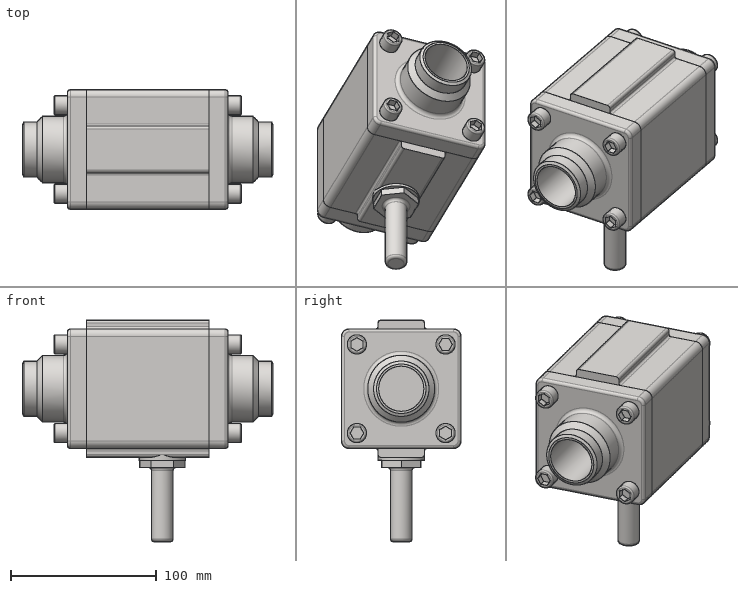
import cadquery as cq
import math

OVERALL_LENGTH = 172.0
OVERALL_HEIGHT = 152.0
BLOCK_SIZE = 82.0
BLOCK_LENGTH = 84.1
CAP_THICKNESS = 13.0
CORNER_RADIUS = 5.2

RAIL_WIDTH = 32.0
RAIL_HEIGHT = 6.0
RAIL_EDGE_RADIUS = 2.0
RAIL_ROOT_RADIUS = 1.5

CAP_EDGE_RADIUS = 2.0
STUB_DIAMETER = 46.0
STUB_ROOT_RADIUS = 2.8
PIPE_DIAMETER = 38.0
PIPE_LENGTH = 10.0
BORE_DIAMETER = 31.0
BEVEL_DEPTH = 2.0
BEVEL_LENGTH = 1.0

BOLT_CIRCLE_DIAMETER = 86.0
SCREW_COUNT = 4
HEAD_DIAMETER = 13.2
HEAD_HEIGHT = 9.1
HEAD_EDGE_RADIUS = 1.0
SOCKET_FLATS = 8.0
SOCKET_DEPTH = 5.0

PROBE_X = 10.0
SEAT_HEIGHT = 2.0
HEX_FLATS = 27.0
HEX_HEIGHT = 5.0
SHAFT_DIAMETER = 15.0
SHAFT_ROOT_RADIUS = 2.0
SHAFT_TIP_RADIUS = 2.0

RAIL_TOP = BLOCK_SIZE / 2 + RAIL_HEIGHT
SEAT_BOTTOM = RAIL_TOP + SEAT_HEIGHT
HEX_BOTTOM = SEAT_BOTTOM + HEX_HEIGHT
PROBE_REACH = OVERALL_HEIGHT - RAIL_TOP
CAP_INNER_FACE = BLOCK_LENGTH / 2
CAP_FACE = CAP_INNER_FACE + CAP_THICKNESS
PIPE_END = OVERALL_LENGTH / 2


def hexagon_diameter(across_flats):
    """Corner-to-corner size of a regular hexagon."""
    return across_flats / math.cos(math.radians(30))


def rounded_block(start, length):
    """Square bar along +X with rounded long edges."""
    bar = cq.Workplane("YZ", origin=(start, 0, 0)).rect(BLOCK_SIZE, BLOCK_SIZE).extrude(length)
    return bar.edges("|X").fillet(CORNER_RADIUS)


def rail_profile():
    """Rail section in YZ: convex top edges, concave roots that flare onto the block."""
    side = RAIL_WIDTH / 2
    base = BLOCK_SIZE / 2
    flare = side + RAIL_ROOT_RADIUS
    root_top = base + RAIL_ROOT_RADIUS
    flat = side - RAIL_EDGE_RADIUS
    edge_base = RAIL_TOP - RAIL_EDGE_RADIUS
    return (
        cq.Workplane("YZ", origin=(-BLOCK_LENGTH / 2, 0, 0))
        .moveTo(-flare, 0)
        .lineTo(-flare, base)
        .radiusArc((-side, root_top), -RAIL_ROOT_RADIUS)
        .lineTo(-side, edge_base)
        .radiusArc((-flat, RAIL_TOP), RAIL_EDGE_RADIUS)
        .lineTo(flat, RAIL_TOP)
        .radiusArc((side, edge_base), RAIL_EDGE_RADIUS)
        .lineTo(side, root_top)
        .radiusArc((flare, base), -RAIL_ROOT_RADIUS)
        .lineTo(flare, 0)
        .close()
    )


def make_housing():
    """Middle block with both rails and a round seat for the probe."""
    rail = rail_profile().extrude(BLOCK_LENGTH)
    seat = (
        cq.Workplane("XY", origin=(PROBE_X, 0, -SEAT_BOTTOM))
        .circle(RAIL_WIDTH / 2)
        .extrude(SEAT_HEIGHT + RAIL_EDGE_RADIUS)
    )
    block = rounded_block(-BLOCK_LENGTH / 2, BLOCK_LENGTH)
    return block.union(rail).union(rail.mirror("XY")).union(seat)


def make_stub():
    """Turned pipe stub about the X axis, solid, with a concave root on the cap face."""
    stub = STUB_DIAMETER / 2
    pipe = PIPE_DIAMETER / 2
    cone_end = PIPE_END - PIPE_LENGTH
    cone_start = cone_end - (stub - pipe)
    return (
        cq.Workplane("XY")
        .moveTo(CAP_INNER_FACE, 0)
        .lineTo(CAP_INNER_FACE, stub + STUB_ROOT_RADIUS)
        .lineTo(CAP_FACE, stub + STUB_ROOT_RADIUS)
        .radiusArc((CAP_FACE + STUB_ROOT_RADIUS, stub), -STUB_ROOT_RADIUS)
        .lineTo(cone_start, stub)
        .lineTo(cone_end, pipe)
        .lineTo(PIPE_END - BEVEL_LENGTH, pipe)
        .lineTo(PIPE_END, pipe - BEVEL_DEPTH)
        .lineTo(PIPE_END, 0)
        .close()
        .revolve(360, (0, 0, 0), (1, 0, 0))
    )


def make_screw_head():
    """Screw head on the cap face at the +Y+Z corner, hexagon corners pointing along Y."""
    offset = BOLT_CIRCLE_DIAMETER / 2 / math.sqrt(2)
    head = (
        cq.Workplane("YZ", origin=(CAP_FACE, offset, offset))
        .circle(HEAD_DIAMETER / 2)
        .extrude(HEAD_HEIGHT)
        .faces(">X")
        .edges()
        .fillet(HEAD_EDGE_RADIUS)
    )
    socket = (
        cq.Workplane("YZ", origin=(CAP_FACE + HEAD_HEIGHT, offset, offset))
        .polygon(6, hexagon_diameter(SOCKET_FLATS))
        .extrude(-SOCKET_DEPTH)
    )
    return head.cut(socket)


def make_cap():
    """Cap for the +X end: plate, bored pipe stub and screw heads."""
    plate = rounded_block(CAP_INNER_FACE, CAP_THICKNESS)
    cap = plate.faces(">X").edges().fillet(CAP_EDGE_RADIUS).union(make_stub())
    bore = (
        cq.Workplane("YZ", origin=(CAP_INNER_FACE, 0, 0))
        .circle(BORE_DIAMETER / 2)
        .extrude(PIPE_END - CAP_INNER_FACE)
    )
    cap = cap.cut(bore)
    head = make_screw_head()
    for i in range(SCREW_COUNT):
        cap = cap.union(head.rotate((0, 0, 0), (1, 0, 0), i * 360 / SCREW_COUNT))
    return cap


def make_probe():
    """Hexagon and round shaft hanging from the seat, hexagon corners pointing along X."""
    hexagon = (
        cq.Workplane("XY", origin=(PROBE_X, 0, -HEX_BOTTOM))
        .polygon(6, hexagon_diameter(HEX_FLATS))
        .extrude(HEX_HEIGHT)
    )
    radius = SHAFT_DIAMETER / 2
    shaft = (
        cq.Workplane("XZ", origin=(PROBE_X, 0, 0))
        .moveTo(0, -HEX_BOTTOM)
        .lineTo(radius + SHAFT_ROOT_RADIUS, -HEX_BOTTOM)
        .radiusArc((radius, -HEX_BOTTOM - SHAFT_ROOT_RADIUS), -SHAFT_ROOT_RADIUS)
        .lineTo(radius, -PROBE_REACH + SHAFT_TIP_RADIUS)
        .radiusArc((radius - SHAFT_TIP_RADIUS, -PROBE_REACH), SHAFT_TIP_RADIUS)
        .lineTo(0, -PROBE_REACH)
        .close()
        .revolve(360, (0, 0, 0), (0, 1, 0))
    )
    return hexagon.union(shaft)


housing = make_housing()
probe = make_probe()
caps = [make_cap().rotate((0, 0, 0), (0, 0, 1), angle) for angle in (0, 180)]

bodies = [housing, *caps, probe]
result = cq.Compound.makeCompound([body.solids().val() for body in bodies])